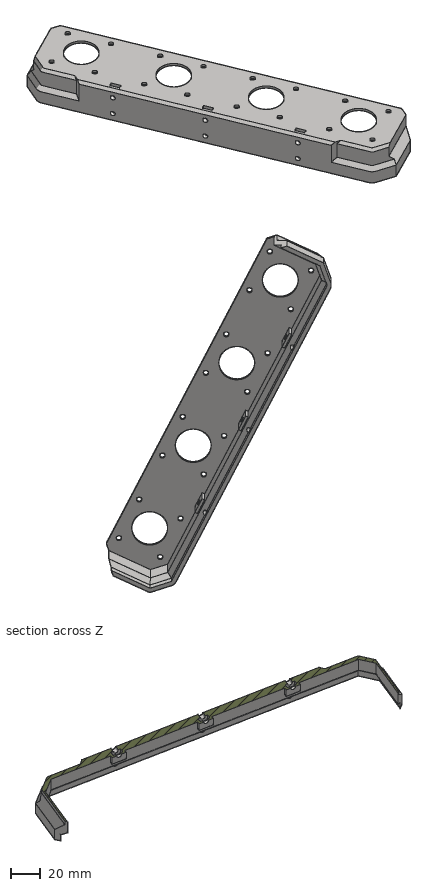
import cadquery as cq
import math

LENGTH = 265.0
WIDTH = 50.0
HEIGHT = 27.0
HALF_LENGTH = LENGTH / 2
HALF_WIDTH = WIDTH / 2

FRONT_CORNER = 12.5
FRONT_CORNER_RADIUS = 6.0
BACK_CORNER = 10.0

LEDGE_HEIGHT = 10.0
END_STEP = 5.0
END_STEP_TOP = 17.0

RECESS_DEPTH = 3.0
RECESS_HALF_SPACING = 90.5
TOP_CHAMFER = 2.0

PLATE_THICKNESS = 2.0
LOWER_WALL = 3.0
CAVITY_NARROWING = 3.5
NARROWING_HEIGHT = 6.0

MOTOR_SPACING = 66.4
MOTOR_COUNT = 4
MOTOR_Y = 3.7
MOTOR_BORE = 24.0
MOTOR_SCREW_SPACING = 31.0
MOTOR_SCREW_HOLE = 3.5

FRONT_HOLE = 3.4
FRONT_HOLE_HEIGHTS = (6.0, 20.0)
NUT_SLOT_LENGTH = 7.0
NUT_SLOT_WIDTH = 2.6
NUT_SLOT_FRONT = -21.2
NUT_SLOT_FLOOR = 16.0
BOSS_WALL = 2.0

OVERRUN = 15.0
BEVEL_ANGLE = 45.0


def spaced(count):
    """X positions of a centred row at the motor spacing."""
    return [(i - (count - 1) / 2) * MOTOR_SPACING for i in range(count)]


def outline(inset, level, radius=0.0, side_overrun=0.0):
    """Plan outline moved inwards by `inset`, running past the back; front corners may be rounded.

    `side_overrun` moves the sides outwards again and lengthens the 45 degree corner cuts to match.
    """
    side = HALF_LENGTH - inset + side_overrun
    front = inset - HALF_WIDTH
    back = HALF_WIDTH + OVERRUN
    corner = FRONT_CORNER - inset * (2 - math.sqrt(2)) + side_overrun
    tangent = radius * math.tan(math.pi / 8)
    diagonal = tangent / math.sqrt(2)
    bend = side - corner
    plan = cq.Workplane("XY").workplane(offset=level).moveTo(-side, back)
    plan = plan.lineTo(-side, front + corner)
    if radius > 0:
        plan = plan.lineTo(-bend - diagonal, front + diagonal)
        plan = plan.radiusArc((-bend + tangent, front), -radius)
        plan = plan.lineTo(bend - tangent, front)
        plan = plan.radiusArc((bend + diagonal, front + diagonal), -radius)
    else:
        plan = plan.lineTo(-bend, front).lineTo(bend, front)
    return plan.lineTo(side, front + corner).lineTo(side, back).close()


def make_stepped_block():
    """Base, sloped ledge and set-back upper part, with the chamfer under the top face."""
    upper_radius = FRONT_CORNER_RADIUS - RECESS_DEPTH
    chamfer_level = HEIGHT - TOP_CHAMFER
    base = outline(0, 0, FRONT_CORNER_RADIUS).extrude(LEDGE_HEIGHT)
    ledge = outline(0, LEDGE_HEIGHT, FRONT_CORNER_RADIUS, OVERRUN)
    ledge = ledge.extrude(RECESS_DEPTH, taper=BEVEL_ANGLE)
    upper = outline(RECESS_DEPTH, LEDGE_HEIGHT, upper_radius, OVERRUN)
    upper = upper.extrude(chamfer_level - LEDGE_HEIGHT)
    rim = outline(RECESS_DEPTH, chamfer_level, upper_radius, OVERRUN)
    rim = rim.extrude(TOP_CHAMFER, taper=BEVEL_ANGLE)
    return base.union(ledge).union(upper).union(rim)


def make_front_face():
    """Full-depth middle of the front, with 45 degree ends and a chamfered top edge."""
    depth = RECESS_DEPTH + 2 * TOP_CHAMFER
    front = -HALF_WIDTH
    half_front = RECESS_HALF_SPACING
    half_back = RECESS_HALF_SPACING + depth
    plan = [
        (-half_front, front),
        (half_front, front),
        (half_back, front + depth),
        (-half_back, front + depth),
    ]
    block = cq.Workplane("XY").polyline(plan).close().extrude(HEIGHT)
    return block.faces("<Y").edges(">Z").chamfer(TOP_CHAMFER)


def trim_ends(body):
    """Trims the body to its end silhouette and to its back edge with the cut corners."""
    upper_half = HALF_LENGTH - END_STEP
    silhouette = [
        (-HALF_LENGTH, 0),
        (HALF_LENGTH, 0),
        (HALF_LENGTH, LEDGE_HEIGHT),
        (upper_half, END_STEP_TOP),
        (upper_half, HEIGHT),
        (-upper_half, HEIGHT),
        (-upper_half, END_STEP_TOP),
        (-HALF_LENGTH, LEDGE_HEIGHT),
    ]
    ends = cq.Workplane("XZ").polyline(silhouette).close().extrude(WIDTH, both=True)
    back = cq.Workplane("XY").box(LENGTH, WIDTH, HEIGHT, centered=(True, True, False))
    back = back.faces(">Y").edges("|Z").chamfer(BACK_CORNER)
    return body.intersect(ends).intersect(back)


def make_cavity():
    """Space under the plate: wide at the bottom, narrowing at 45 degrees to the upper walls."""
    narrow_level = NARROWING_HEIGHT + CAVITY_NARROWING
    upper_inset = LOWER_WALL + CAVITY_NARROWING
    lower = outline(LOWER_WALL, 0).extrude(NARROWING_HEIGHT)
    slope = outline(LOWER_WALL, NARROWING_HEIGHT).extrude(CAVITY_NARROWING, taper=BEVEL_ANGLE)
    upper = outline(upper_inset, narrow_level).extrude(HEIGHT - PLATE_THICKNESS - narrow_level)
    return lower.union(slope).union(upper)


def make_nut_boss(x):
    """Block behind the front wall that encloses one nut slot."""
    length = NUT_SLOT_LENGTH + 2 * BOSS_WALL
    back = NUT_SLOT_FRONT + NUT_SLOT_WIDTH + BOSS_WALL
    bottom = NUT_SLOT_FLOOR - BOSS_WALL
    depth = back - NUT_SLOT_FRONT
    boss = cq.Workplane("XY").box(length, depth, HEIGHT - bottom, centered=(True, False, False))
    return boss.translate((x, NUT_SLOT_FRONT, bottom))


def make_nut_slot(x):
    """Slot open at the top, with a 45 degree floor that is deepest at the front."""
    back = NUT_SLOT_FRONT + NUT_SLOT_WIDTH
    profile = [
        (NUT_SLOT_FRONT, NUT_SLOT_FLOOR),
        (back, NUT_SLOT_FLOOR + NUT_SLOT_WIDTH),
        (back, HEIGHT),
        (NUT_SLOT_FRONT, HEIGHT),
    ]
    slot = cq.Workplane("YZ").polyline(profile).close().extrude(NUT_SLOT_LENGTH / 2, both=True)
    return slot.translate((x, 0, 0))


def drill_front_holes(body, x):
    """Drills the upper and lower screw holes through the front wall."""
    for z in FRONT_HOLE_HEIGHTS:
        drill = cq.Workplane("XZ").center(x, z).circle(FRONT_HOLE / 2).extrude(HALF_WIDTH)
        body = body.cut(drill)
    return body


def drill_motor_mount(body, x):
    """Cuts the motor bore and its four screw holes through the plate."""
    mount = cq.Workplane("XY").center(x, MOTOR_Y)
    bore = mount.circle(MOTOR_BORE / 2).extrude(HEIGHT)
    screws = mount.rect(MOTOR_SCREW_SPACING, MOTOR_SCREW_SPACING, forConstruction=True).vertices()
    screws = screws.circle(MOTOR_SCREW_HOLE / 2).extrude(HEIGHT)
    return body.cut(bore).cut(screws)


housing = trim_ends(make_stepped_block().union(make_front_face()))
housing = housing.cut(make_cavity())

for nut_x in spaced(MOTOR_COUNT - 1):
    housing = housing.union(make_nut_boss(nut_x))
    housing = housing.cut(make_nut_slot(nut_x))
    housing = drill_front_holes(housing, nut_x)

for motor_x in spaced(MOTOR_COUNT):
    housing = drill_motor_mount(housing, motor_x)

result = housing